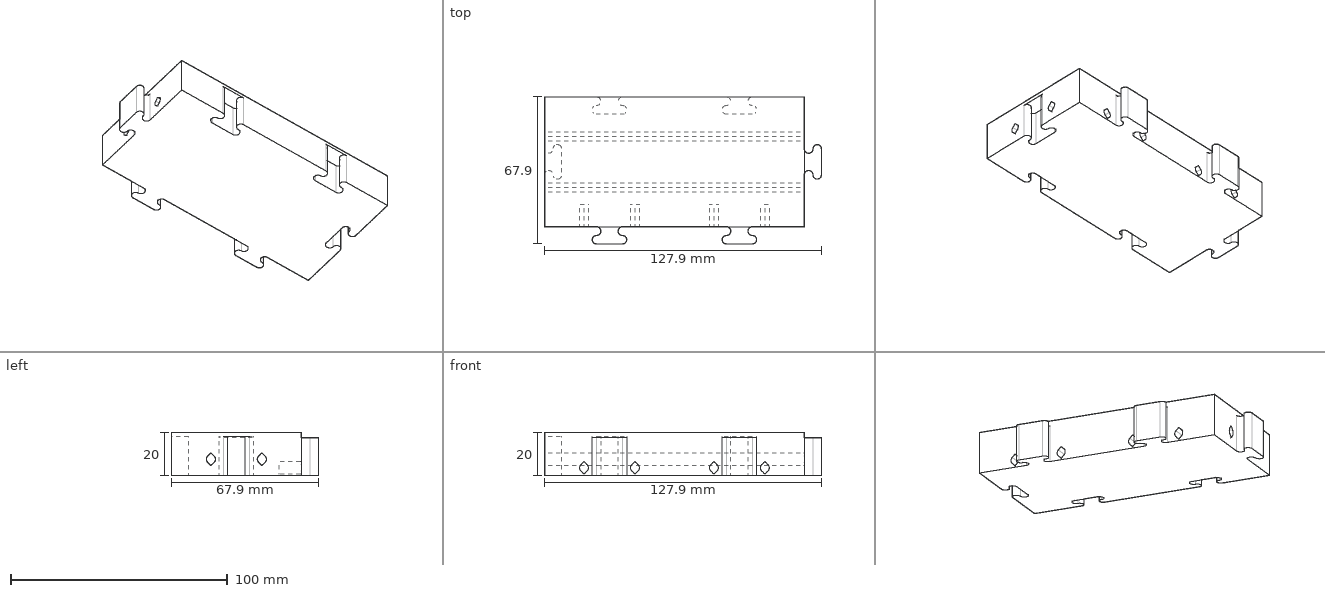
import cadquery as cq
import math

cell = 60.0
cells = 2
height = 20.0
key_reach = 7.9
key_height = 17.5
socket_height = 18.0
arc_spread = 6.0
hole_dia = 4.1
hole_offset = 11.8
front_hole_z = 3.6
cross_hole_z = 7.5
front_hole_depth = 10.2

length = cells * cell
arc_radius = key_reach / 4
half_cell = cell / 2
cell_centers = [(i + 0.5) * cell for i in range(cells)]
hole_tip = hole_dia / 2 * math.sqrt(2)


def key_prism(prism_height):
    """T-shaped key standing on Z = 0, rooted at Y = 0 and reaching toward -Y."""
    r = arc_radius
    c = arc_spread
    return (
        cq.Workplane("XY")
        .moveTo(-c, 0)
        .lineTo(c, 0)
        .threePointArc((c - r, -r), (c, -2 * r))
        .threePointArc((c + r, -3 * r), (c, -4 * r))
        .lineTo(-c, -4 * r)
        .threePointArc((-c - r, -3 * r), (-c, -2 * r))
        .threePointArc((-c + r, -r), (-c, 0))
        .close()
        .extrude(prism_height)
    )


def pointed_hole(depth):
    """Round hole along +Y with 45-degree points at its top and bottom."""
    flank = hole_tip / 2
    return (
        cq.Workplane("XZ")
        .moveTo(0, hole_tip)
        .lineTo(flank, flank)
        .threePointArc((hole_dia / 2, 0), (flank, -flank))
        .lineTo(0, -hole_tip)
        .lineTo(-flank, -flank)
        .threePointArc((-hole_dia / 2, 0), (-flank, flank))
        .close()
        .extrude(-depth)
    )


def turn_to_x(shape):
    """Turn a shape so that its -Y direction becomes +X."""
    return shape.rotate((0, 0, 0), (0, 0, 1), 90)


result = cq.Workplane("XY").box(length, cell, height, centered=False)

key = key_prism(key_height)
for x in cell_centers:
    result = result.union(key.translate((x, 0, 0)))
result = result.union(turn_to_x(key).translate((length, half_cell, 0)))

socket = key_prism(socket_height)
for x in cell_centers:
    result = result.cut(socket.translate((x, cell, 0)))
result = result.cut(turn_to_x(socket).translate((0, half_cell, 0)))

front_hole = pointed_hole(front_hole_depth)
cross_hole = turn_to_x(pointed_hole(length))
for side in (-1, 1):
    offset = side * hole_offset
    for x in cell_centers:
        result = result.cut(front_hole.translate((x + offset, 0, front_hole_z)))
    result = result.cut(cross_hole.translate((length, half_cell + offset, cross_hole_z)))